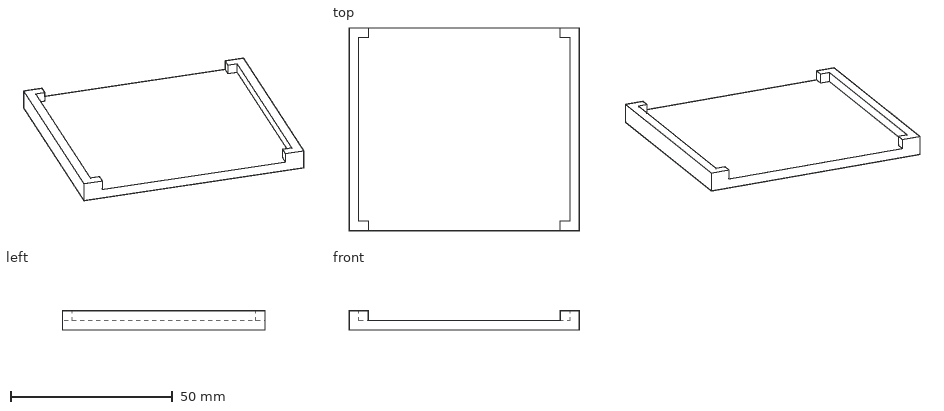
import cadquery as cq

length_x = 71.2
width_y = 62.7
height = 6.0

floor_thickness = 3.0
wall_thickness = 3.0
lip_length = 3.0

pocket_length = length_x - 2 * wall_thickness
pocket_width = width_y - 2 * wall_thickness
opening_length = pocket_length - 2 * lip_length
wall_height = height - floor_thickness


def block_on_base(size_x, size_y, size_z, base_z):
    """Box centred on the Z axis with its underside at base_z."""
    return (
        cq.Workplane("XY")
        .workplane(offset=base_z)
        .box(size_x, size_y, size_z, centered=(True, True, False))
    )


tray = block_on_base(length_x, width_y, height, 0)

pocket = block_on_base(pocket_length, pocket_width, wall_height, floor_thickness)

end_opening = block_on_base(opening_length, width_y, wall_height, floor_thickness)

result = tray.cut(pocket).cut(end_opening)